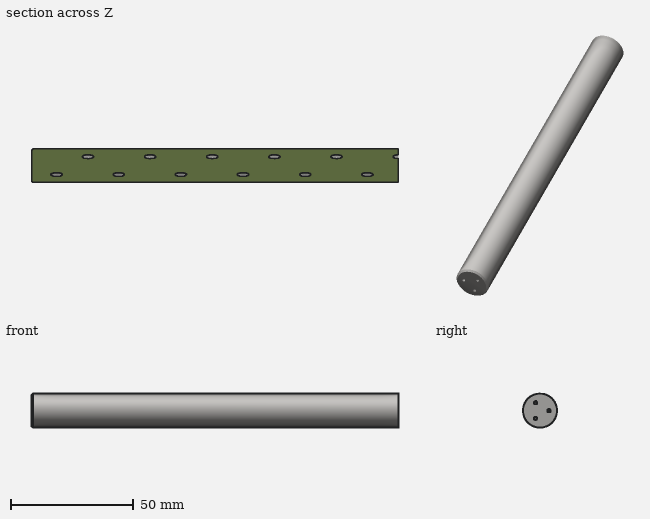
import cadquery as cq
import math

rod_diameter = 14.0
rod_length = 150.0
chamfer_size = 0.7

channel_count = 3
channel_diameter = 1.35
channel_circle_diameter = 7.35
helix_angle = 30.0

FULL_TURN = 360.0
helix_pitch = math.pi * rod_diameter / math.tan(math.radians(helix_angle))
twist_angle = FULL_TURN * rod_length / helix_pitch

plain_end = cq.Plane(origin=(0, 0, 0), xDir=(0, 1, 0), normal=(-1, 0, 0))


def make_rod():
    """Solid cylinder, chamfered at the -X end only."""
    rod = cq.Workplane(plain_end).circle(rod_diameter / 2).extrude(rod_length)
    return rod.faces("<X").edges().chamfer(chamfer_size)


def make_channels():
    """Evenly spaced right-handed helical channels running the full length."""
    return (
        cq.Workplane(plain_end)
        .polarArray(channel_circle_diameter / 2, 0, FULL_TURN, channel_count)
        .circle(channel_diameter / 2)
        .twistExtrude(rod_length, twist_angle, combine=False)
    )


result = make_rod().cut(make_channels())